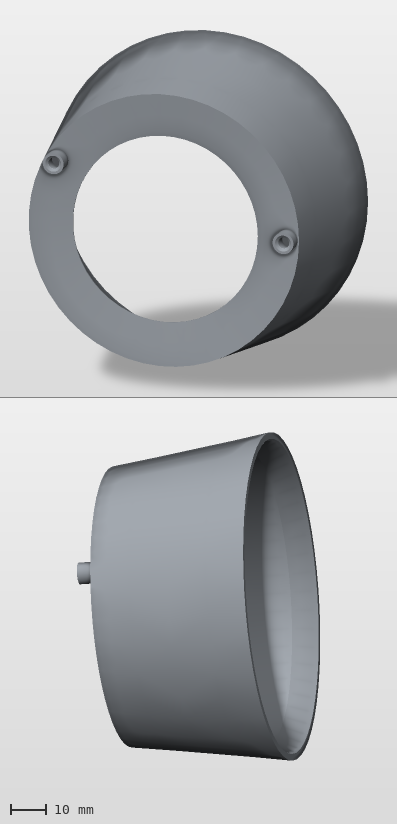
import cadquery as cq
import math

rear_radius = 46.2
front_radius = 39.5
opening_radius = 27.1
total_length = 49.7
pin_height = 4.0
body_length = total_length - pin_height
front_y = -body_length
dish_depth = 1.4

bore_radius = 41.2
bore_front_y = -25.4
rear_flare_length = 6.9
rear_bore_radius = 44.3
opening_land = 0.4

pin_radius = 3.05
pin_hole_radius = 1.6
pin_hole_chamfer = 0.7
pin_circle_radius = 36.0
pin_angles = (0, 150)


def dish_y(radius):
    """Y position of the conical front face at a given radius."""
    return front_y + dish_depth * (front_radius - radius) / (front_radius - opening_radius)


def bowl_midpoint(land_y):
    """Middle of the cavity arc, which is tangent to the bore and ends at the opening."""
    radial_run = bore_radius - opening_radius
    axial_run = bore_front_y - land_y
    arc_radius = (radial_run**2 + axial_run**2) / (2 * radial_run)
    half_angle = math.asin(axial_run / arc_radius) / 2
    center_radius = bore_radius - arc_radius
    return (
        center_radius + arc_radius * math.cos(half_angle),
        bore_front_y - arc_radius * math.sin(half_angle),
    )


def make_shell():
    """Tapered ring with a dished front and a rounded cavity behind it."""
    opening_y = dish_y(opening_radius)
    land_y = opening_y + opening_land
    return (
        cq.Workplane("XY")
        .moveTo(opening_radius, opening_y)
        .lineTo(front_radius, front_y)
        .lineTo(rear_radius, 0)
        .lineTo(rear_bore_radius, 0)
        .lineTo(bore_radius, -rear_flare_length)
        .lineTo(bore_radius, bore_front_y)
        .threePointArc(bowl_midpoint(land_y), (opening_radius, land_y))
        .close()
        .revolve(360, (0, 0, 0), (0, 1, 0))
    )


def make_pin(angle):
    """Pin rooted in the front face, with a countersunk blind hole down to that face."""
    x = pin_circle_radius * math.cos(math.radians(angle))
    z = pin_circle_radius * math.sin(math.radians(angle))
    root_y = dish_y(pin_circle_radius - pin_radius)
    return (
        cq.Workplane("XZ", origin=(x, root_y, z))
        .circle(pin_radius)
        .circle(pin_hole_radius)
        .extrude(root_y + total_length)
        .faces("<Y")
        .edges(cq.selectors.RadiusNthSelector(0))
        .chamfer(pin_hole_chamfer)
    )


result = make_shell()
for angle in pin_angles:
    result = result.union(make_pin(angle))